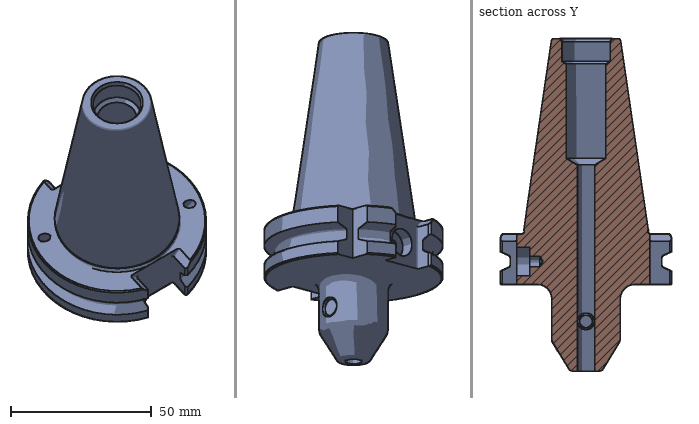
import cadquery as cq
import math

TOTAL_HEIGHT = 118.2

TAPER_LENGTH = 68.2
GAGE_RADIUS = 22.2
TAPER_SLOPE = 7 / 48
TAPER_RIM_FILLET = 1.2
GAGE_Z = TOTAL_HEIGHT - TAPER_LENGTH
TAPER_TOP_RADIUS = GAGE_RADIUS - TAPER_LENGTH * TAPER_SLOPE

FLANGE_DIAMETER = 63.5
FLANGE_RADIUS = FLANGE_DIAMETER / 2
FLANGE_BOTTOM_Z = 30.7
FLANGE_HEIGHT = 18.1
FLANGE_EDGE_CHAMFER = 0.5
FLANGE_TOP_Z = FLANGE_BOTTOM_Z + FLANGE_HEIGHT
NECK_RADIUS = 22.0
NECK_FILLET = 1.0
GROOVE_Z = FLANGE_BOTTOM_Z + 8.3
GROOVE_MOUTH = 7.1
GROOVE_FLOOR_RADIUS = 28.1
GROOVE_FLANK_ANGLE = 25.0
GROOVE_CORNER_FILLET = 1.0

NOSE_RADIUS = 12.3
NOSE_ROOT_FILLET = 5.0
NOSE_TIP_RADIUS = 5.7
NOSE_CONE_HEIGHT = 10.9
NOSE_SHOULDER_FILLET = 3.5
NOSE_TIP_FILLET = 1.5

SLOT_WIDTH = 16.1
LEFT_SLOT_FLOOR = 24.6
RIGHT_SLOT_FLOOR = 22.7
SLOT_FLOOR_FILLET = 0.7
SLOT_LIP_CHAMFER = 0.7
SLOT_TOP_CHAMFER = 2.6

NOTCH_OFFSET = 18.5

CHIP_POCKET_RADIUS = 5.0
CHIP_POCKET_DEPTH = 4.6
PILOT_RADIUS = 1.8
PILOT_DEPTH = 3.5
DRILL_HALF_ANGLE = 59.0

COOLANT_RADIUS = 1.8
COOLANT_CIRCLE_RADIUS = 26.8
COOLANT_TILT = 35.0
COOLANT_DEPTH = 14.2
COOLANT_ANGLES = (70.0, 250.0)

COUNTERBORE_RADIUS = 8.5
COUNTERBORE_DEPTH = 8.2
MOUTH_BEVEL_WIDTH = 0.7
MOUTH_BEVEL_DEPTH = 1.2
STUD_BORE_RADIUS = 7.0
STUD_BORE_DEPTH = 42.6
STUD_BORE_CONE_HEIGHT = 1.0
TOOL_BORE_RADIUS = 3.0

SCREW_Z = 17.7
SCREW_RADIUS = 3.0
SCREW_LENGTH = 10.0
SCREW_TIP_Y = 1.2
SCREW_TIP_CHAMFER = 0.7
SCREW_MOUTH_RADIUS = 3.5

CUT_MARGIN = 5.9


def revolve_about_z(profile):
    """Turn a profile of (radius, height) points about the Z axis."""
    return profile.close().revolve(360, (0, 0, 0), (0, 1, 0))


def fillet_arc_inset(radius):
    """Distance of a quarter-round fillet's midpoint from each of the two faces it joins."""
    return radius * (1 - math.sqrt(0.5))


def taper_shank():
    neck_base = FLANGE_TOP_Z
    fillet_top = neck_base + NECK_FILLET
    fillet_edge = NECK_RADIUS + NECK_FILLET
    fillet_mid = fillet_arc_inset(NECK_FILLET)
    shank = revolve_about_z(
        cq.Workplane("XZ")
        .moveTo(0, neck_base)
        .lineTo(fillet_edge, neck_base)
        .threePointArc((NECK_RADIUS + fillet_mid, neck_base + fillet_mid), (NECK_RADIUS, fillet_top))
        .lineTo(NECK_RADIUS, GAGE_Z)
        .lineTo(GAGE_RADIUS, GAGE_Z)
        .lineTo(TAPER_TOP_RADIUS, TOTAL_HEIGHT)
        .lineTo(0, TOTAL_HEIGHT)
    )
    return shank.faces(">Z").edges().fillet(TAPER_RIM_FILLET)


def flange():
    disc = (
        cq.Workplane("XY", origin=(0, 0, FLANGE_BOTTOM_Z))
        .circle(FLANGE_RADIUS)
        .extrude(FLANGE_HEIGHT)
        .edges()
        .chamfer(FLANGE_EDGE_CHAMFER)
    )
    flank_slope = math.tan(math.radians(GROOVE_FLANK_ANGLE))
    outer_radius = FLANGE_RADIUS + CUT_MARGIN
    half_outer = GROOVE_MOUTH / 2 + CUT_MARGIN * flank_slope
    half_floor = GROOVE_MOUTH / 2 - (FLANGE_RADIUS - GROOVE_FLOOR_RADIUS) * flank_slope
    groove = revolve_about_z(
        cq.Workplane("XZ")
        .moveTo(outer_radius, GROOVE_Z - half_outer)
        .lineTo(outer_radius, GROOVE_Z + half_outer)
        .lineTo(GROOVE_FLOOR_RADIUS, GROOVE_Z + half_floor)
        .lineTo(GROOVE_FLOOR_RADIUS, GROOVE_Z - half_floor)
    )
    floor_corners = cq.selectors.RadiusNthSelector(0)
    groove = groove.edges("%CIRCLE").edges(floor_corners).fillet(GROOVE_CORNER_FILLET)
    return disc.cut(groove)


def nose():
    root_z = FLANGE_BOTTOM_Z - NOSE_ROOT_FILLET
    root_edge = NOSE_RADIUS + NOSE_ROOT_FILLET
    root_mid = fillet_arc_inset(NOSE_ROOT_FILLET)
    body = revolve_about_z(
        cq.Workplane("XZ")
        .lineTo(NOSE_TIP_RADIUS, 0)
        .lineTo(NOSE_RADIUS, NOSE_CONE_HEIGHT)
        .lineTo(NOSE_RADIUS, root_z)
        .threePointArc((NOSE_RADIUS + root_mid, FLANGE_BOTTOM_Z - root_mid), (root_edge, FLANGE_BOTTOM_Z))
        .lineTo(0, FLANGE_BOTTOM_Z)
    )
    shoulder = cq.selectors.NearestToPointSelector((0, 0, NOSE_CONE_HEIGHT))
    body = body.edges("%CIRCLE").edges(shoulder).fillet(NOSE_SHOULDER_FILLET)
    return body.faces("<Z").edges().fillet(NOSE_TIP_FILLET)


def drive_slot(floor_distance):
    """Cutter for the slot on the +X side, with its floor at the given distance from the axis."""
    half_width = SLOT_WIDTH / 2
    length = FLANGE_RADIUS + CUT_MARGIN - floor_distance
    bevel_bottom_z = FLANGE_TOP_Z - SLOT_TOP_CHAMFER
    bevel_top_z = FLANGE_TOP_Z + NECK_FILLET
    top_half_width = half_width + bevel_top_z - bevel_bottom_z
    channel = (
        cq.Workplane("YZ", origin=(floor_distance, 0, 0))
        .moveTo(-half_width, FLANGE_BOTTOM_Z)
        .lineTo(half_width, FLANGE_BOTTOM_Z)
        .lineTo(half_width, bevel_bottom_z)
        .lineTo(top_half_width, bevel_top_z)
        .lineTo(-top_half_width, bevel_top_z)
        .lineTo(-half_width, bevel_bottom_z)
        .close()
        .extrude(length)
        .faces("<X")
        .edges("not |Y")
        .fillet(SLOT_FLOOR_FILLET)
    )
    lip_x = math.sqrt(FLANGE_RADIUS**2 - (half_width + SLOT_LIP_CHAMFER) ** 2)
    lip_bevel = (
        cq.Workplane("XY", origin=(0, 0, FLANGE_BOTTOM_Z))
        .moveTo(lip_x - SLOT_LIP_CHAMFER, -half_width)
        .lineTo(lip_x + CUT_MARGIN, -half_width - SLOT_LIP_CHAMFER - CUT_MARGIN)
        .lineTo(lip_x + CUT_MARGIN, half_width + SLOT_LIP_CHAMFER + CUT_MARGIN)
        .lineTo(lip_x - SLOT_LIP_CHAMFER, half_width)
        .close()
        .extrude(FLANGE_HEIGHT)
    )
    return channel.union(lip_bevel)


def orientation_notch():
    """Square-cornered cutter through the full flange height."""
    return (
        cq.Workplane("XY")
        .box(FLANGE_RADIUS, FLANGE_RADIUS, FLANGE_HEIGHT, centered=False)
        .translate((-NOTCH_OFFSET - FLANGE_RADIUS, NOTCH_OFFSET, FLANGE_BOTTOM_Z))
    )


def chip_pocket():
    """Round pocket with a drilled pilot hole, both along +X from the -X slot floor."""
    pilot_end = CHIP_POCKET_DEPTH + PILOT_DEPTH
    drill_tip = pilot_end + PILOT_RADIUS / math.tan(math.radians(DRILL_HALF_ANGLE))
    return (
        cq.Workplane("XY")
        .lineTo(0, CHIP_POCKET_RADIUS)
        .lineTo(CHIP_POCKET_DEPTH, CHIP_POCKET_RADIUS)
        .lineTo(CHIP_POCKET_DEPTH, PILOT_RADIUS)
        .lineTo(pilot_end, PILOT_RADIUS)
        .lineTo(drill_tip, 0)
        .close()
        .revolve(360, (0, 0, 0), (1, 0, 0))
        .translate((-LEFT_SLOT_FLOOR, 0, GROOVE_Z))
    )


def coolant_hole(angle):
    """Blind hole that leans toward the axis as it goes down."""
    return (
        cq.Workplane("XY")
        .circle(COOLANT_RADIUS)
        .extrude(COOLANT_DEPTH + CUT_MARGIN)
        .translate((0, 0, -COOLANT_DEPTH))
        .rotate((0, 0, 0), (0, 1, 0), COOLANT_TILT)
        .translate((COOLANT_CIRCLE_RADIUS, 0, FLANGE_TOP_Z))
        .rotate((0, 0, 0), (0, 0, 1), angle)
    )


def central_bore():
    mouth_radius = COUNTERBORE_RADIUS + MOUTH_BEVEL_WIDTH
    counterbore_z = TOTAL_HEIGHT - COUNTERBORE_DEPTH
    stud_bore_z = TOTAL_HEIGHT - STUD_BORE_DEPTH
    drill_cone = (STUD_BORE_RADIUS - TOOL_BORE_RADIUS) / math.tan(math.radians(DRILL_HALF_ANGLE))
    return revolve_about_z(
        cq.Workplane("XZ")
        .lineTo(TOOL_BORE_RADIUS, 0)
        .lineTo(TOOL_BORE_RADIUS, stud_bore_z - drill_cone)
        .lineTo(STUD_BORE_RADIUS, stud_bore_z)
        .lineTo(STUD_BORE_RADIUS, counterbore_z - STUD_BORE_CONE_HEIGHT)
        .lineTo(COUNTERBORE_RADIUS, counterbore_z)
        .lineTo(COUNTERBORE_RADIUS, TOTAL_HEIGHT - MOUTH_BEVEL_DEPTH)
        .lineTo(mouth_radius, TOTAL_HEIGHT)
        .lineTo(0, TOTAL_HEIGHT)
    )


def screw_hole():
    """Radial hole from the axis to the +Y side, widened to a cone at its mouth."""
    cone_depth = SCREW_MOUTH_RADIUS - SCREW_RADIUS
    mouth_y = math.sqrt(NOSE_RADIUS**2 - SCREW_MOUTH_RADIUS**2)
    return (
        cq.Workplane("XY")
        .lineTo(SCREW_RADIUS, 0)
        .lineTo(SCREW_RADIUS, mouth_y - cone_depth)
        .lineTo(SCREW_MOUTH_RADIUS, mouth_y)
        .lineTo(SCREW_MOUTH_RADIUS, NOSE_RADIUS)
        .lineTo(0, NOSE_RADIUS)
        .close()
        .revolve(360, (0, 0, 0), (0, 1, 0))
        .translate((0, 0, SCREW_Z))
    )


def make_holder():
    holder = taper_shank().union(flange()).union(nose())
    holder = holder.cut(drive_slot(RIGHT_SLOT_FLOOR))
    holder = holder.cut(drive_slot(LEFT_SLOT_FLOOR).mirror("YZ"))
    holder = holder.cut(orientation_notch())
    holder = holder.cut(chip_pocket())
    for angle in COOLANT_ANGLES:
        holder = holder.cut(coolant_hole(angle))
    return holder.cut(central_bore()).cut(screw_hole())


def make_clamping_screw():
    """Screw whose bevelled tip reaches into the tool bore."""
    return (
        cq.Workplane("XZ", origin=(0, SCREW_TIP_Y, SCREW_Z))
        .circle(SCREW_RADIUS)
        .extrude(-SCREW_LENGTH)
        .faces("<Y")
        .edges()
        .chamfer(SCREW_TIP_CHAMFER)
    )


holder = make_holder()
clamping_screw = make_clamping_screw()

result = cq.Compound.makeCompound([holder.val(), clamping_screw.val()])